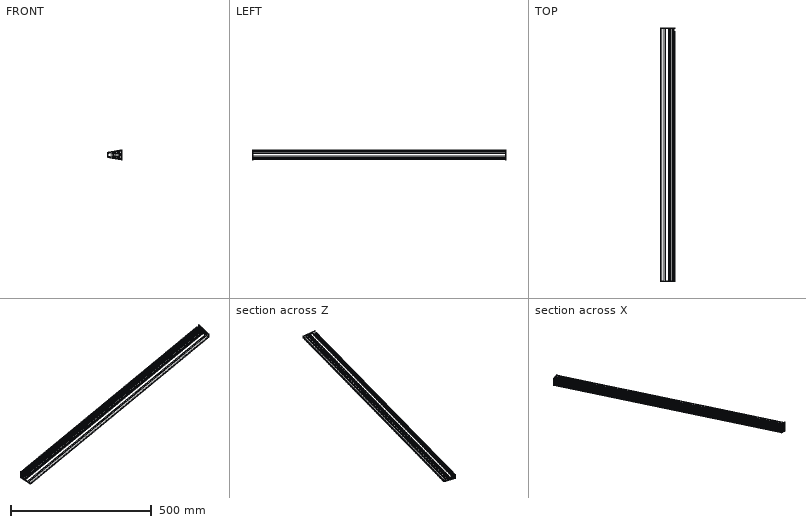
import cadquery as cq
import math

LENGTH = 900.0
WIDTH = 50.0
HEIGHT = 35.0
LEFT = -WIDTH / 2
RIGHT = WIDTH / 2

TAPER_ANGLE = 10.0
TAPER_SLOPE = math.tan(math.radians(TAPER_ANGLE))
TAPER_COSINE = math.cos(math.radians(TAPER_ANGLE))
BODY_RIGHT = 22.0
BODY_RIGHT_HALF = 17.0
NOSE_RADIUS = 2.5
THIN_WALL = 1.6
THICK_WALL = 3.0

PLATE_THICKNESS = 1.4
PLATE_NECK_HALF = 15.0

RECESS_LEFT = 17.0
RECESS_HALF = 13.5

RAIL_END_GAP = 12.0
RAIL_HALF = 14.0
FLANGE_THICKNESS = 0.7
RIB_Z = 3.15
RIB_THICKNESS = 1.35
WEB_LEFT = 18.0
WEB_RIGHT = 20.0
LIP_Z = 10.0
LIP_REACH = 3.0

NOSE_WALL = 2.0
MOUTH_LEFT = LEFT + NOSE_WALL
MOUTH_LEFT_HALF = 4.5
MOUTH_SHOULDER_X = -21.0
MOUTH_SHOULDER_HALF = 5.85
MOUTH_RIGHT = -13.5
NECK_HALF = 4.0
CHANNEL_END_LEFT = -5.0
CHANNEL_END_RIGHT = -2.0
CHANNEL_END_HALF = 5.85

BOX_LEFT = 1.0
BOX_RIGHT = 14.0
BOX_HALF = 4.0
FRONT_CHAMBER_LEFT = -8.0
FRONT_CHAMBER_RIGHT = 3.0
FRONT_CHAMBER_FLOOR = 7.0
MIDDLE_CHAMBER_LEFT = 4.05
MIDDLE_CHAMBER_FLOOR = 4.95
MIDDLE_CHAMBER_FLOOR_RIGHT = 13.0
MIDDLE_CHAMBER_TOP_RIGHT = 8.0
REAR_CHAMBER_LEFT = 10.0
REAR_CHAMBER_RIGHT = 15.0
REAR_CHAMBER_BOTTOM = 5.85

Y_FRONT = -LENGTH / 2
Y_BACK = LENGTH / 2
Y_INNER = (Y_FRONT + PLATE_THICKNESS, Y_BACK - PLATE_THICKNESS)
Y_RAIL = (Y_INNER[0], Y_BACK - RAIL_END_GAP)


def outer_half(x):
    """Half height of the tapered body at x."""
    return BODY_RIGHT_HALF - (BODY_RIGHT - x) * TAPER_SLOPE


def under_wall(x, wall=THICK_WALL):
    """Point at x on the inside of a tapered wall of the given thickness."""
    return (x, outer_half(x) - wall / TAPER_COSINE)


def prism(points, start, end):
    """Extrude an XZ outline along Y from start to end."""
    outline = cq.Workplane("XZ", origin=(0, start, 0)).polyline(points).close()
    return outline.extrude(start - end)


def block(x_range, z_range, y_range):
    """Box spanning the given ranges."""
    (x0, x1), (z0, z1), (y0, y1) = x_range, z_range, y_range
    return prism([(x0, z0), (x1, z0), (x1, z1), (x0, z1)], y0, y1)


def mirrored(solid):
    """The solid together with its mirror image below Z = 0."""
    return solid.union(solid.mirror("XY"))


def body():
    left_half = outer_half(LEFT)
    corners = [
        (LEFT, -left_half),
        (BODY_RIGHT, -BODY_RIGHT_HALF),
        (BODY_RIGHT, BODY_RIGHT_HALF),
        (LEFT, left_half),
    ]
    return prism(corners, Y_FRONT, Y_BACK).edges("|Y and <X").fillet(NOSE_RADIUS)


def central_channel():
    upper = [
        (MOUTH_LEFT, MOUTH_LEFT_HALF),
        (MOUTH_SHOULDER_X, MOUTH_SHOULDER_HALF),
        under_wall(MOUTH_RIGHT, THIN_WALL),
        (MOUTH_RIGHT, NECK_HALF),
        (CHANNEL_END_LEFT, NECK_HALF),
        (CHANNEL_END_LEFT, CHANNEL_END_HALF),
        (CHANNEL_END_RIGHT, CHANNEL_END_HALF),
    ]
    end_point = [(CHANNEL_END_LEFT, 0)]
    lower = [(x, -z) for x, z in reversed(upper)]
    return prism(upper + end_point + lower, *Y_INNER)


def chambers():
    front = [
        (FRONT_CHAMBER_LEFT, FRONT_CHAMBER_FLOOR),
        (FRONT_CHAMBER_RIGHT, FRONT_CHAMBER_FLOOR),
        under_wall(FRONT_CHAMBER_RIGHT),
        under_wall(FRONT_CHAMBER_LEFT, THIN_WALL),
    ]
    middle = [
        (MIDDLE_CHAMBER_LEFT, MIDDLE_CHAMBER_FLOOR),
        (MIDDLE_CHAMBER_FLOOR_RIGHT, MIDDLE_CHAMBER_FLOOR),
        under_wall(MIDDLE_CHAMBER_TOP_RIGHT),
        under_wall(MIDDLE_CHAMBER_LEFT),
    ]
    rear = [
        (REAR_CHAMBER_RIGHT, REAR_CHAMBER_BOTTOM),
        under_wall(REAR_CHAMBER_RIGHT),
        under_wall(REAR_CHAMBER_LEFT),
    ]
    hollows = block((BOX_LEFT, BOX_RIGHT), (-BOX_HALF, BOX_HALF), Y_INNER)
    for outline in (front, middle, rear):
        hollows = hollows.union(mirrored(prism(outline, *Y_INNER)))
    return hollows


def recess():
    return block((RECESS_LEFT, BODY_RIGHT), (-RECESS_HALF, RECESS_HALF), Y_INNER)


def flange(half_height, y_range):
    """Thin upright strip on the right side."""
    return block((RIGHT - FLANGE_THICKNESS, RIGHT), (-half_height, half_height), y_range)


def rail():
    rib_top = RIB_Z + RIB_THICKNESS
    rib = block((RECESS_LEFT, RIGHT), (RIB_Z, rib_top), Y_RAIL)
    lip = block((RIGHT - LIP_REACH, RIGHT), (LIP_Z, LIP_Z + RIB_THICKNESS), Y_RAIL)
    web = block((WEB_LEFT, WEB_RIGHT), (-rib_top, rib_top), Y_RAIL)
    return flange(RAIL_HALF, Y_RAIL).union(mirrored(rib.union(lip))).union(web)


def plate_extension(y_range):
    """Part of an end plate that reaches past the body to the right side."""
    neck = block((BODY_RIGHT, RIGHT), (-PLATE_NECK_HALF, PLATE_NECK_HALF), y_range)
    return neck.union(flange(HEIGHT / 2, y_range))


result = body().cut(central_channel()).cut(chambers()).cut(recess()).union(rail())
for plate_range in ((Y_FRONT, Y_INNER[0]), (Y_INNER[1], Y_BACK)):
    result = result.union(plate_extension(plate_range))